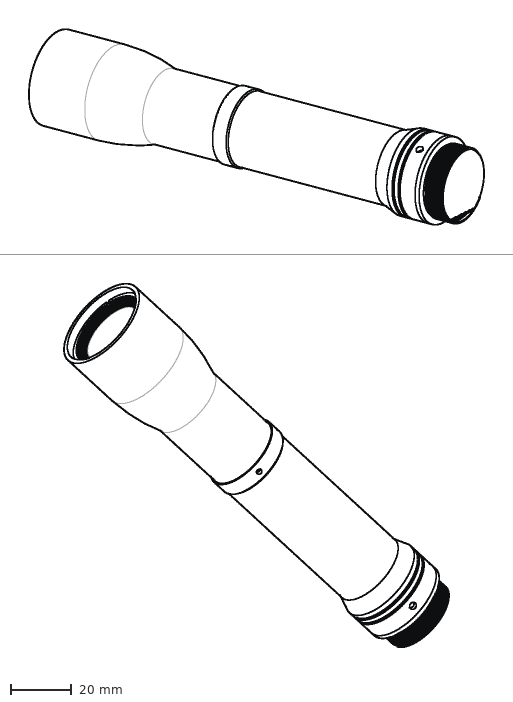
import cadquery as cq
import math


head_radius = 16.5
head_length = 22.0
tube_radius = 13.0
flare_end = 42.5
band_radius = 13.5
band_start = 70.6
band_end = 76.5
band_chamfer = 0.5
taper_start = 134.7
collar_start = 140.5
collar_radius = 15.0
barrel_end = 151.6

groove_starts = (142.5, 144.9)
groove_width = 0.6
groove_depth = 0.3
collar_hole_diameter = 2.4
hole_depth = 2.0
collar_hole_position = 148.5
collar_hole_angles = (30, 150, 270)
band_hole_diameter = 1.8
band_hole_position = 73.5
band_hole_angle = 157

recess_radius = 15.0
ring_front = 3.0
ring_thickness = 2.4
baffle_front_radius = 13.7
baffle_rear_radius = 10.9
baffle_steps = 7
baffle_depth = ring_thickness
spanner_slot_width = 1.0
spanner_slot_depth = 0.5

lens_dome_radius = 50.0
lens_edge_thickness = 3.0

flange_length = 1.6
overall_length = 161.2
thread_radius = 12.9
thread_pitch = 25.4 / 32
thread_depth = 0.5
thread_root_flat = 0.05
thread_overlap = 0.1
core_setback = 0.25

ring_rear = ring_front + ring_thickness
lens_rear = ring_rear + lens_edge_thickness
flange_end = barrel_end + flange_length


def turned(outline):
    """Revolve a closed outline drawn in XY about the X axis."""
    return outline.close().revolve(360, (0, 0, 0), (1, 0, 0))


def disc(start, length, radius):
    return cq.Workplane("YZ", origin=(start, 0, 0)).circle(radius).extrude(length)


def radial_hole(position, angle, surface_radius, diameter):
    """Cutter for a blind hole drilled toward the axis from a turned surface."""
    floor = surface_radius - hole_depth
    cutter = (
        cq.Workplane("XY", origin=(position, 0, floor))
        .circle(diameter / 2)
        .extrude(2 * hole_depth)
    )
    return cutter.rotate((0, 0, 0), (1, 0, 0), angle)


def make_barrel():
    drop = head_radius - tube_radius
    run = flare_end - head_length
    flare_radius = (run**2 + drop**2) / (2 * drop)
    half_angle = math.asin(run / flare_radius) / 2
    flare_middle = (
        head_length + flare_radius * math.sin(half_angle),
        head_radius - flare_radius * (1 - math.cos(half_angle)),
    )
    body = turned(
        cq.Workplane("XY")
        .moveTo(0, 0)
        .lineTo(0, head_radius)
        .lineTo(head_length, head_radius)
        .threePointArc(flare_middle, (flare_end, tube_radius))
        .lineTo(band_start, tube_radius)
        .lineTo(band_start, band_radius)
        .lineTo(band_end - band_chamfer, band_radius)
        .lineTo(band_end, tube_radius)
        .lineTo(taper_start, tube_radius)
        .lineTo(collar_start, collar_radius)
        .lineTo(barrel_end, collar_radius)
        .lineTo(barrel_end, 0)
    )
    body = body.cut(disc(0, lens_rear, recess_radius))
    for start in groove_starts:
        groove = disc(start, groove_width, collar_radius + groove_depth)
        groove = groove.cut(disc(start, groove_width, collar_radius - groove_depth))
        body = body.cut(groove)
    for angle in collar_hole_angles:
        hole = radial_hole(collar_hole_position, angle, collar_radius, collar_hole_diameter)
        body = body.cut(hole)
    hole = radial_hole(band_hole_position, band_hole_angle, band_radius, band_hole_diameter)
    return body.cut(hole)


def make_retaining_ring():
    ring = disc(ring_front, ring_thickness, recess_radius)
    radius_step = (baffle_front_radius - baffle_rear_radius) / baffle_steps
    depth_step = baffle_depth / baffle_steps
    for step in range(baffle_steps):
        radius = baffle_front_radius - step * radius_step
        ring = ring.cut(disc(ring_front, (step + 1) * depth_step, radius))
    ring = ring.cut(disc(ring_front, ring_thickness, baffle_rear_radius))
    slot = cq.Workplane("XY").box(2 * spanner_slot_depth, spanner_slot_width, 2 * recess_radius)
    return ring.cut(slot.translate((ring_front, 0, 0)))


def make_lens():
    sag = lens_dome_radius - math.sqrt(lens_dome_radius**2 - baffle_rear_radius**2)
    middle_radius = baffle_rear_radius / 2
    middle_sag = lens_dome_radius - math.sqrt(lens_dome_radius**2 - middle_radius**2)
    crown = ring_rear - sag
    return turned(
        cq.Workplane("XY")
        .moveTo(crown, 0)
        .threePointArc((crown + middle_sag, middle_radius), (ring_rear, baffle_rear_radius))
        .lineTo(ring_rear, recess_radius)
        .lineTo(lens_rear, recess_radius)
        .lineTo(lens_rear, 0)
    )


def make_mount():
    root_radius = thread_radius - thread_depth
    mount = disc(barrel_end, flange_length, collar_radius)
    half_base = (thread_pitch - thread_root_flat) / 2
    helix_start = flange_end + half_base
    helix_length = overall_length - half_base - helix_start
    core_length = overall_length - core_setback - flange_end
    mount = mount.union(disc(flange_end, core_length, root_radius))
    path = cq.Wire.makeHelix(thread_pitch, helix_length, root_radius)
    ridge = (
        cq.Workplane("XZ")
        .moveTo(root_radius - thread_overlap, -half_base)
        .lineTo(thread_radius, 0)
        .lineTo(root_radius - thread_overlap, half_base)
        .close()
        .sweep(cq.Workplane(path), isFrenet=True)
        .rotate((0, 0, 0), (0, 1, 0), 90)
        .translate((helix_start, 0, 0))
    )
    return mount.union(ridge)


barrel = make_barrel()
retaining_ring = make_retaining_ring()
lens = make_lens()
mount = make_mount()

result = cq.Compound.makeCompound([barrel.val(), retaining_ring.val(), lens.val(), mount.val()])